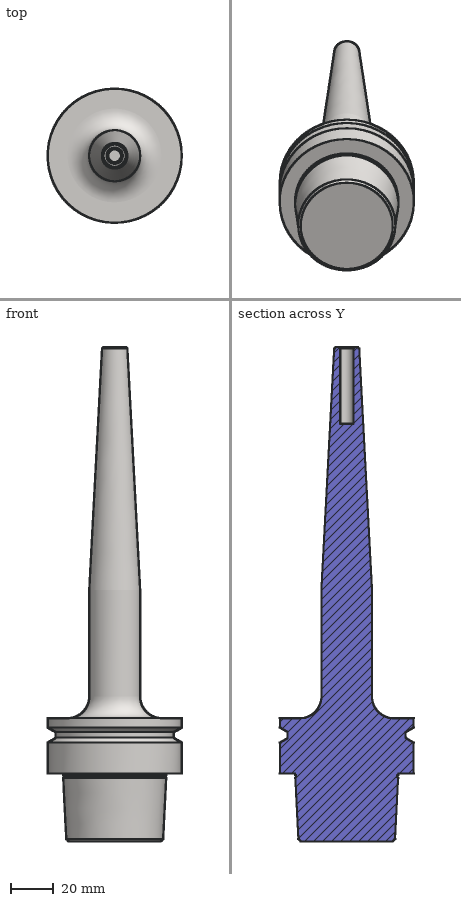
import cadquery as cq
import math

TOTAL_LENGTH = 231.9
PROJECTION = 200.0
SHANK_BOTTOM = PROJECTION - TOTAL_LENGTH

FLANGE_RADIUS = 63.0 / 2
FLANGE_HEIGHT = 26.0
GROOVE_FLOOR_RADIUS = 55.6 / 2
GROOVE_CENTRE = 18.0
GROOVE_WIDTH = 7.0
GROOVE_FLANK_ANGLE = 30.0
GROOVE_FILLET = 0.6

SHANK_GAUGE_RADIUS = 48.0 / 2
SHANK_GAUGE_DEPTH = 6.3
SHANK_TAPER = 1 / 10
RELIEF_TOP = -0.6
RELIEF_BOTTOM = -2.0
RELIEF_DEPTH = 0.4
SHANK_END_CHAMFER = 1.2

STEM_RADIUS = 24.0 / 2
STEM_LENGTH = 50.0
ROOT_FILLET = 10.0
TIP_RADIUS = 12.0 / 2
TIP_CHAMFER = 0.8

BORE_RADIUS = 6.0 / 2
BORE_DEPTH = 36.0
BORE_CHAMFER = 0.8


def shank_radius(z):
    """Radius of the tapered shank at height z."""
    return SHANK_GAUGE_RADIUS + (z + SHANK_GAUGE_DEPTH) * SHANK_TAPER / 2


def make_shank():
    """Tapered shank with a chamfered lower end and a shallow relief groove under the flange."""
    chamfer_top = SHANK_BOTTOM + SHANK_END_CHAMFER
    end_radius = shank_radius(chamfer_top)
    relief_radius = shank_radius(RELIEF_BOTTOM) - RELIEF_DEPTH
    return (
        cq.Workplane("XZ")
        .moveTo(0, SHANK_BOTTOM)
        .lineTo(end_radius - SHANK_END_CHAMFER, SHANK_BOTTOM)
        .lineTo(end_radius, chamfer_top)
        .lineTo(shank_radius(RELIEF_BOTTOM), RELIEF_BOTTOM)
        .lineTo(relief_radius, RELIEF_BOTTOM + RELIEF_DEPTH)
        .lineTo(relief_radius, RELIEF_TOP - RELIEF_DEPTH)
        .lineTo(shank_radius(RELIEF_TOP), RELIEF_TOP)
        .lineTo(shank_radius(0), 0)
        .lineTo(0, 0)
        .close()
        .revolve(360, (0, 0), (0, 1))
    )


def make_flange():
    """Disc with a flat-bottomed V groove around its rim, rounded in its lower corner."""
    groove_depth = FLANGE_RADIUS - GROOVE_FLOOR_RADIUS
    flank_height = groove_depth * math.tan(math.radians(GROOVE_FLANK_ANGLE))
    mouth_half = GROOVE_WIDTH / 2
    floor_half = mouth_half - flank_height
    disc = (
        cq.Workplane("XZ")
        .lineTo(FLANGE_RADIUS, 0)
        .lineTo(FLANGE_RADIUS, GROOVE_CENTRE - mouth_half)
        .lineTo(GROOVE_FLOOR_RADIUS, GROOVE_CENTRE - floor_half)
        .lineTo(GROOVE_FLOOR_RADIUS, GROOVE_CENTRE + floor_half)
        .lineTo(FLANGE_RADIUS, GROOVE_CENTRE + mouth_half)
        .lineTo(FLANGE_RADIUS, FLANGE_HEIGHT)
        .lineTo(0, FLANGE_HEIGHT)
        .close()
        .revolve(360, (0, 0), (0, 1))
    )
    floor_corners = disc.edges(cq.selectors.RadiusNthSelector(0))
    return floor_corners.edges("<Z").fillet(GROOVE_FILLET)


def make_stem():
    """Filleted root, straight stem and long cone up to the chamfered tip."""
    root_top = FLANGE_HEIGHT + ROOT_FILLET
    cone_bottom = root_top + STEM_LENGTH
    root_radius = STEM_RADIUS + ROOT_FILLET
    arc_inset = ROOT_FILLET * math.sqrt(0.5)
    return (
        cq.Workplane("XZ")
        .moveTo(0, FLANGE_HEIGHT)
        .lineTo(root_radius, FLANGE_HEIGHT)
        .threePointArc(
            (root_radius - arc_inset, root_top - arc_inset),
            (STEM_RADIUS, root_top),
        )
        .lineTo(STEM_RADIUS, cone_bottom)
        .lineTo(TIP_RADIUS, PROJECTION - TIP_CHAMFER)
        .lineTo(TIP_RADIUS - TIP_CHAMFER, PROJECTION)
        .lineTo(0, PROJECTION)
        .close()
        .revolve(360, (0, 0), (0, 1))
    )


def make_bore():
    """Blind tool bore with a chamfered mouth, as a cutting body."""
    return (
        cq.Workplane("XZ")
        .moveTo(0, PROJECTION - BORE_DEPTH)
        .lineTo(BORE_RADIUS, PROJECTION - BORE_DEPTH)
        .lineTo(BORE_RADIUS, PROJECTION - BORE_CHAMFER)
        .lineTo(BORE_RADIUS + BORE_CHAMFER, PROJECTION)
        .lineTo(0, PROJECTION)
        .close()
        .revolve(360, (0, 0), (0, 1))
    )


result = make_shank().union(make_flange()).union(make_stem()).cut(make_bore())